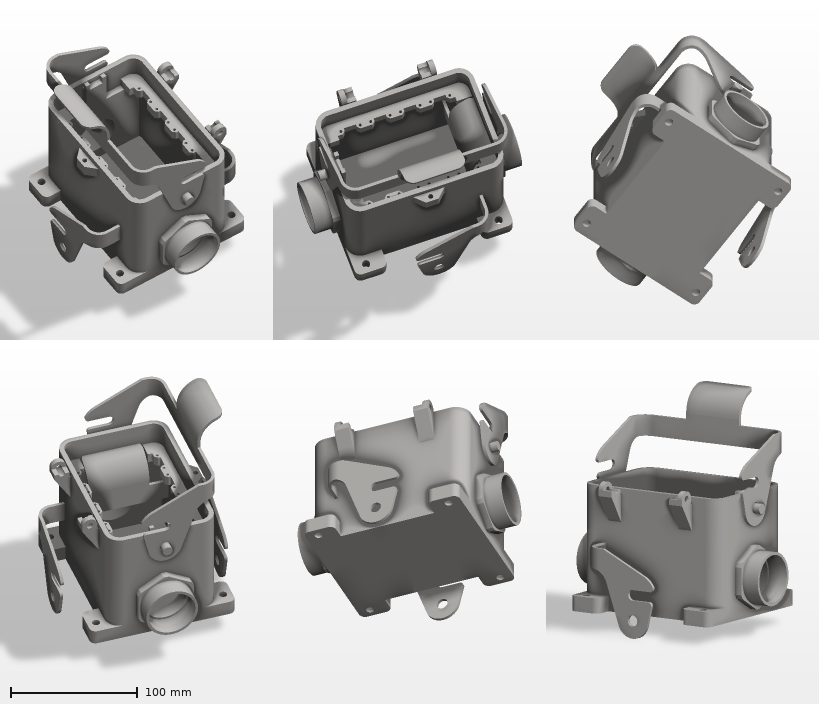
import cadquery as cq
import math


LENGTH = 132.0
WIDTH = 90.6
CORNER_RADIUS = 12.7
WALL = 4.0
FLOOR = 4.0
SHELL_HEIGHT = 94.3
COLLAR_HEIGHT = 5.5
RIM_HEIGHT = SHELL_HEIGHT + COLLAR_HEIGHT
INNER_LENGTH = LENGTH - 2 * WALL
INNER_WIDTH = WIDTH - 2 * WALL
INNER_RADIUS = CORNER_RADIUS - WALL
END_WALL = 9.2

SHELF_TOP = RIM_HEIGHT - 19.3
SHELF_THICKNESS = 8.3
SHELF_BOTTOM = SHELF_TOP - SHELF_THICKNESS
SHELF_END_OPENING = 52.7
SHELF_OPENING = 60.3
SHELF_OPENING_LENGTH = 98.3
POCKET_OPENING = 69.3
POCKET_LENGTH = 10.1
POCKET_PITCH = 25.0
POCKET_COUNT = 4
POCKET_CHAMFER = 2.4
CONTACT_HOLE_DIAMETER = 2.4
CONTACT_HOLE_OFFSET = 8.0
CONTACT_HOLE_SPAN = 66.0

CLIP_WIDTH = 19.1
PRONG_LENGTH = 3.5
PRONG_WIDTH = 3.7
PRONG_TOP = RIM_HEIGHT + 1.1

FOOT_LENGTH = 26.3
FOOT_SPAN = 120.5
FOOT_HEIGHT = 12.3
FOOT_RADIUS = 5.1
FOOT_HOLE_DIAMETER = 6.5
FOOT_HOLE_X = 55.5
FOOT_HOLE_Y = 53.0

GLAND_SPAN = 173.0
GLAND_HEIGHT = 32.0
TUBE_DIAMETER = 43.0
TUBE_BORE_DIAMETER = 38.5
TUBE_BORE_DEPTH = 17.1
CABLE_HOLE_DIAMETER = 35.0
HEX_ACROSS_FLATS = 46.3
HEX_CORNER_DIAMETER = 51.3
HEX_LENGTH = 6.0

PIN_DIAMETER = 8.0
PIN_SPAN = 151.8
PIN_HEIGHT = 87.1

LUG_LENGTH = 26.1
LUG_DEPTH = 7.7
LUG_HEIGHT = 10.0
LUG_HOLE_DIAMETER = 4.0

HINGE_SPAN = 79.5
EAR_THICKNESS = 4.6
SADDLE_LENGTH = 7.7
EAR_RADIUS = 6.2
HINGE_HOLE_DIAMETER = 5.1
HINGE_AXIS_Y = 52.5
HINGE_AXIS_HEIGHT = 99.0
BRACKET_BOTTOM = 72.8

LEVER_SPAN = 139.5
LEVER_THICKNESS = 2.5
LEVER_BEND_RADIUS = 12.7
LEVER_HOLE_DIAMETER = 9.0
HUB_RADIUS = 14.2
FRONT_TILT = math.radians(19.4)
BACK_TILT = math.radians(13.6)
CROSSBAR_REACH = 44.7
CROSSBAR_TOP = 54.8
CROSSBAR_BOTTOM = 38.0
CROSSBAR_FILLET = 14.2
SHOULDER_P = 28.1
NOSE_P = -15.8
NOSE_Z = 34.2
NOSE_RADIUS = 17.8
NOSE_TIP_P = -21.5
NOSE_TIP_RADIUS = 2.8
LATCH_SLOT_BOTTOM = 16.4
LATCH_SLOT_WIDTH = 8.5
LATCH_SLOT_TOP = LATCH_SLOT_BOTTOM + LATCH_SLOT_WIDTH
PRONG_RADIUS = 2.8
HANDLE_WIDTH = 50.5
HANDLE_REACH = 64.9
HANDLE_TOP = 82.5
HANDLE_CORNER_RADIUS = 7.7

UPPER_LEVER_PLACE = (0, PIN_HEIGHT)
LOWER_LEVER_PLACE = (90, 0)


def box_between(x_range, y_range, z_range):
    """Box spanning the given (low, high) ranges."""
    size = [high - low for low, high in (x_range, y_range, z_range)]
    corner = (x_range[0], y_range[0], z_range[0])
    return cq.Workplane("XY").box(*size, centered=False).translate(corner)


def rounded_block(length, width, radius, bottom, height):
    """Centred block with rounded vertical edges."""
    plane = cq.Workplane("XY").workplane(offset=bottom)
    return plane.rect(length, width).extrude(height).edges("|Z").fillet(radius)


def x_cylinder(diameter, start, end, y, z):
    """Cylinder along X from start to end."""
    plane = cq.Workplane("YZ", origin=(start, y, z))
    return plane.circle(diameter / 2).extrude(end - start)


def with_mirror_copy(shape):
    """The shape together with its mirror image across X = 0."""
    return shape.union(shape.mirror("YZ"))


def make_shell():
    """Box with a rounded cavity that is open at the top and narrower below the contact shelf."""
    shell = rounded_block(LENGTH, WIDTH, CORNER_RADIUS, 0, SHELL_HEIGHT)
    cavity = rounded_block(INNER_LENGTH, INNER_WIDTH, INNER_RADIUS, FLOOR, SHELL_HEIGHT)
    thick_wall = box_between(
        (LENGTH / 2 - END_WALL, LENGTH / 2 - WALL / 2),
        (-INNER_WIDTH / 2, INNER_WIDTH / 2),
        (FLOOR, SHELF_BOTTOM),
    )
    return shell.cut(cavity.cut(with_mirror_copy(thick_wall)))


def make_shelf():
    """Ledge round the inside whose opening has a row of chamfered pockets on both long sides."""
    shelf = rounded_block(INNER_LENGTH, INNER_WIDTH, INNER_RADIUS, SHELF_BOTTOM, SHELF_THICKNESS)
    plane = cq.Workplane("XY").workplane(offset=SHELF_BOTTOM)
    shelf = shelf.cut(plane.rect(INNER_LENGTH, SHELF_END_OPENING).extrude(SHELF_THICKNESS))
    shelf = shelf.cut(plane.rect(SHELF_OPENING_LENGTH, SHELF_OPENING).extrude(SHELF_THICKNESS))
    half = POCKET_LENGTH / 2
    flared = half + POCKET_CHAMFER
    mouth = SHELF_OPENING / 2
    pocket_outline = [
        (-flared, -mouth),
        (-half, -mouth - POCKET_CHAMFER),
        (-half, -POCKET_OPENING / 2),
        (half, -POCKET_OPENING / 2),
        (half, -mouth - POCKET_CHAMFER),
        (flared, -mouth),
        (flared, mouth),
        (half, mouth + POCKET_CHAMFER),
        (half, POCKET_OPENING / 2),
        (-half, POCKET_OPENING / 2),
        (-half, mouth + POCKET_CHAMFER),
        (-flared, mouth),
    ]
    pocket_pair = plane.polyline(pocket_outline).close().extrude(SHELF_THICKNESS)
    holes = (
        plane.rect(2 * CONTACT_HOLE_OFFSET, CONTACT_HOLE_SPAN, forConstruction=True)
        .vertices()
        .circle(CONTACT_HOLE_DIAMETER / 2)
        .extrude(SHELF_THICKNESS)
    )
    for index in range(POCKET_COUNT):
        x = (index - (POCKET_COUNT - 1) / 2) * POCKET_PITCH
        shelf = shelf.cut(pocket_pair.translate((x, 0, 0)))
        shelf = shelf.cut(holes.translate((x, 0, 0)))
    return shelf


def make_clip():
    """Block standing on the thick part of the -X end wall, with a prong at each end."""
    wall_face = -LENGTH / 2 + WALL
    inner_face = -LENGTH / 2 + END_WALL
    half = CLIP_WIDTH / 2
    clip = box_between((wall_face, inner_face), (-half, half), (SHELF_BOTTOM, SHELL_HEIGHT))
    for y in (-half, half - PRONG_WIDTH):
        prong = box_between(
            (inner_face - PRONG_LENGTH, inner_face),
            (y, y + PRONG_WIDTH),
            (SHELL_HEIGHT, PRONG_TOP),
        )
        clip = clip.union(prong)
    return clip


def make_foot():
    """Drilled foot strip under the +X end, flush with the end face and clear of the cavity."""
    foot = rounded_block(FOOT_LENGTH, FOOT_SPAN, FOOT_RADIUS, 0, FOOT_HEIGHT)
    foot = foot.translate((LENGTH / 2 - FOOT_LENGTH / 2, 0, 0))
    cavity_plane = cq.Workplane("XY").workplane(offset=FLOOR)
    cavity = cavity_plane.rect(LENGTH - 2 * END_WALL, INNER_WIDTH).extrude(FOOT_HEIGHT)
    holes = (
        cq.Workplane("XY")
        .pushPoints([(FOOT_HOLE_X, FOOT_HOLE_Y), (FOOT_HOLE_X, -FOOT_HOLE_Y)])
        .circle(FOOT_HOLE_DIAMETER / 2)
        .extrude(FOOT_HEIGHT)
    )
    return foot.cut(cavity).cut(holes)


def make_gland():
    """Hexagonal collar and tube on the +X end."""
    wall_face = LENGTH / 2
    tube = x_cylinder(TUBE_DIAMETER, wall_face, GLAND_SPAN / 2, 0, GLAND_HEIGHT)
    across_corners = HEX_ACROSS_FLATS / math.cos(math.pi / 6)
    hexagon = (
        cq.Workplane("YZ", origin=(wall_face, 0, GLAND_HEIGHT))
        .transformed(rotate=(0, 0, 90))
        .polygon(6, across_corners)
        .extrude(HEX_LENGTH)
    )
    turned = x_cylinder(HEX_CORNER_DIAMETER, wall_face, wall_face + HEX_LENGTH, 0, GLAND_HEIGHT)
    return tube.union(hexagon.intersect(turned))


def make_gland_bore():
    """Stepped bore through the +X gland and the end wall."""
    end = GLAND_SPAN / 2
    cable_hole = x_cylinder(CABLE_HOLE_DIAMETER, LENGTH / 2 - END_WALL, end, 0, GLAND_HEIGHT)
    tube_bore = x_cylinder(TUBE_BORE_DIAMETER, end - TUBE_BORE_DEPTH, end, 0, GLAND_HEIGHT)
    return cable_hole.union(tube_bore)


def make_lug():
    """Block with 45 degree ends just below the collar, drilled through vertically."""
    wall_face = -WIDTH / 2
    half = LUG_LENGTH / 2
    outline = [
        (-half, wall_face),
        (-half + LUG_DEPTH, wall_face - LUG_DEPTH),
        (half - LUG_DEPTH, wall_face - LUG_DEPTH),
        (half, wall_face),
    ]
    plane = cq.Workplane("XY").workplane(offset=SHELL_HEIGHT - LUG_HEIGHT)
    lug = plane.polyline(outline).close().extrude(LUG_HEIGHT)
    hole = plane.center(0, wall_face - LUG_DEPTH / 2).circle(LUG_HOLE_DIAMETER / 2)
    return lug.cut(hole.extrude(LUG_HEIGHT))


def make_hinge_bracket():
    """Round-topped ear at +X, with a grooved saddle beside it, on a sloping gusset."""
    ear_outer = HINGE_SPAN / 2
    ear_inner = ear_outer - EAR_THICKNESS
    saddle_inner = ear_inner - SADDLE_LENGTH
    near = HINGE_AXIS_Y - EAR_RADIUS
    far = HINGE_AXIS_Y + EAR_RADIUS
    gusset_outline = [
        (WIDTH / 2, BRACKET_BOTTOM),
        (far, SHELL_HEIGHT),
        (far, HINGE_AXIS_HEIGHT),
        (near, HINGE_AXIS_HEIGHT),
        (near, SHELL_HEIGHT),
        (WIDTH / 2, SHELL_HEIGHT),
    ]
    gusset_plane = cq.Workplane("YZ", origin=(saddle_inner, 0, 0))
    gusset = gusset_plane.polyline(gusset_outline).close().extrude(ear_outer - saddle_inner)
    axis = (HINGE_AXIS_Y, HINGE_AXIS_HEIGHT)
    ear = x_cylinder(2 * EAR_RADIUS, ear_inner, ear_outer, *axis)
    hole = x_cylinder(HINGE_HOLE_DIAMETER, saddle_inner, ear_outer, *axis)
    return gusset.union(ear).cut(hole)


def make_pin():
    """Lever pivot pin on the +X end."""
    return x_cylinder(PIN_DIAMETER, LENGTH / 2, PIN_SPAN / 2, 0, PIN_HEIGHT)


def make_housing():
    """Shell with all its features; those made at the +X end are mirrored to the -X end."""
    housing = make_shell().union(make_shelf()).union(make_clip()).union(make_lug())
    for make_feature in (make_foot, make_gland, make_pin, make_hinge_bracket):
        housing = housing.union(with_mirror_copy(make_feature()))
    return housing.cut(with_mirror_copy(make_gland_bore()))


def make_collar():
    """Continuation of the walls above the shell."""
    outer = rounded_block(LENGTH, WIDTH, CORNER_RADIUS, SHELL_HEIGHT, COLLAR_HEIGHT)
    inner = rounded_block(INNER_LENGTH, INNER_WIDTH, INNER_RADIUS, SHELL_HEIGHT, COLLAR_HEIGHT)
    return outer.cut(inner)


def outline_with_rounded_corners(plane, corners):
    """Closed outline through (u, v, radius) corners; a radius of 0 leaves the corner sharp."""
    path = None
    for index, (u, v, radius) in enumerate(corners):
        corner = cq.Vector(u, v)
        back = (cq.Vector(*corners[index - 1][:2]) - corner).normalized()
        ahead = (cq.Vector(*corners[(index + 1) % len(corners)][:2]) - corner).normalized()
        half_angle = back.getAngle(ahead) / 2
        setback = radius / math.tan(half_angle)
        start = corner + back * setback
        path = plane.moveTo(start.x, start.y) if path is None else path.lineTo(start.x, start.y)
        if radius > 0:
            bisector = (back + ahead).normalized()
            middle = corner + bisector * (radius / math.sin(half_angle) - radius)
            end = corner + ahead * setback
            path = path.threePointArc((middle.x, middle.y), (end.x, end.y))
    return path.close()


def make_cheek_profile():
    """Side profile of the lever as a block across its whole span, with P along -Y."""

    def front_edge_p(z):
        return (HUB_RADIUS + z * math.sin(FRONT_TILT)) / math.cos(FRONT_TILT)

    def back_edge_p(z):
        return -(HUB_RADIUS + z * math.sin(BACK_TILT)) / math.cos(BACK_TILT)

    spread = math.tan(FRONT_TILT) + math.tan(BACK_TILT)
    hub_corner_z = -HUB_RADIUS * (1 / math.cos(FRONT_TILT) + 1 / math.cos(BACK_TILT)) / spread
    corners = [
        (CROSSBAR_REACH, CROSSBAR_TOP, 0),
        (SHOULDER_P, CROSSBAR_TOP, 0),
        (NOSE_P, NOSE_Z, NOSE_RADIUS),
        (NOSE_TIP_P, LATCH_SLOT_TOP, NOSE_TIP_RADIUS),
        (0, LATCH_SLOT_TOP, 0),
        (0, LATCH_SLOT_BOTTOM, 0),
        (back_edge_p(LATCH_SLOT_BOTTOM), LATCH_SLOT_BOTTOM, PRONG_RADIUS),
        (front_edge_p(hub_corner_z), hub_corner_z, HUB_RADIUS),
        (front_edge_p(CROSSBAR_BOTTOM), CROSSBAR_BOTTOM, CROSSBAR_FILLET),
        (CROSSBAR_REACH, CROSSBAR_BOTTOM, 0),
    ]
    side_plane = cq.Workplane(cq.Plane((LEVER_SPAN / 2, 0, 0), (0, -1, 0), (-1, 0, 0)))
    profile = outline_with_rounded_corners(side_plane, corners).extrude(LEVER_SPAN)
    slot_middle = (LATCH_SLOT_BOTTOM + LATCH_SLOT_TOP) / 2
    slot_end = x_cylinder(LATCH_SLOT_WIDTH, -LEVER_SPAN / 2, LEVER_SPAN / 2, 0, slot_middle)
    pin_hole = x_cylinder(LEVER_HOLE_DIAMETER, -LEVER_SPAN / 2, LEVER_SPAN / 2, 0, 0)
    return profile.cut(slot_end).cut(pin_hole)


def make_bent_strip():
    """U-shaped wall, seen from above, from which the crossbar and both cheeks are cut."""
    half = LEVER_SPAN / 2
    open_end = -NOSE_TIP_P
    outer = box_between((-half, half), (-CROSSBAR_REACH, open_end), (-HUB_RADIUS, CROSSBAR_TOP))
    outer = outer.edges("|Z and <Y").fillet(LEVER_BEND_RADIUS)
    inner_half = half - LEVER_THICKNESS
    inner_face = -CROSSBAR_REACH + LEVER_THICKNESS
    inner = box_between((-inner_half, inner_half), (inner_face, open_end), (-HUB_RADIUS, CROSSBAR_TOP))
    inner = inner.edges("|Z and <Y").fillet(LEVER_BEND_RADIUS - LEVER_THICKNESS)
    return outer.cut(inner)


def make_handle():
    """Tongue rising from the crossbar and curling outwards through a quarter turn."""
    inner_p = CROSSBAR_REACH - LEVER_THICKNESS
    outer_radius = HANDLE_REACH - inner_p
    inner_radius = outer_radius - LEVER_THICKNESS
    centre_z = HANDLE_TOP - outer_radius
    diagonal = math.sqrt(0.5)

    def on_arc(radius):
        return (HANDLE_REACH - radius * diagonal, centre_z + radius * diagonal)

    side_plane = cq.Workplane(cq.Plane((HANDLE_WIDTH / 2, 0, 0), (0, -1, 0), (-1, 0, 0)))
    tongue = (
        side_plane.moveTo(inner_p, CROSSBAR_BOTTOM)
        .lineTo(inner_p, centre_z)
        .threePointArc(on_arc(outer_radius), (HANDLE_REACH, HANDLE_TOP))
        .lineTo(HANDLE_REACH, HANDLE_TOP - LEVER_THICKNESS)
        .threePointArc(on_arc(inner_radius), (CROSSBAR_REACH, centre_z))
        .lineTo(CROSSBAR_REACH, CROSSBAR_BOTTOM)
        .close()
        .extrude(HANDLE_WIDTH)
    )
    rounded_end = box_between(
        (-HANDLE_WIDTH / 2, HANDLE_WIDTH / 2), (-HANDLE_REACH, 0), (0, HANDLE_TOP)
    )
    return tongue.intersect(rounded_end.edges("|Z and <Y").fillet(HANDLE_CORNER_RADIUS))


def make_lever(turn, pivot_height):
    """Lever turned about Z by the given angle, with its pivot axis at the given height."""
    lever = make_bent_strip().intersect(make_cheek_profile()).union(make_handle())
    return lever.rotate((0, 0, 0), (0, 0, 1), turn).translate((0, 0, pivot_height))


levers = [make_lever(turn, height) for turn, height in (UPPER_LEVER_PLACE, LOWER_LEVER_PLACE)]
collar = make_collar()
lower_lever = levers[1]
housing = make_housing().cut(lower_lever)

result = cq.Compound.makeCompound([housing.val(), collar.val(), *[lever.val() for lever in levers]])